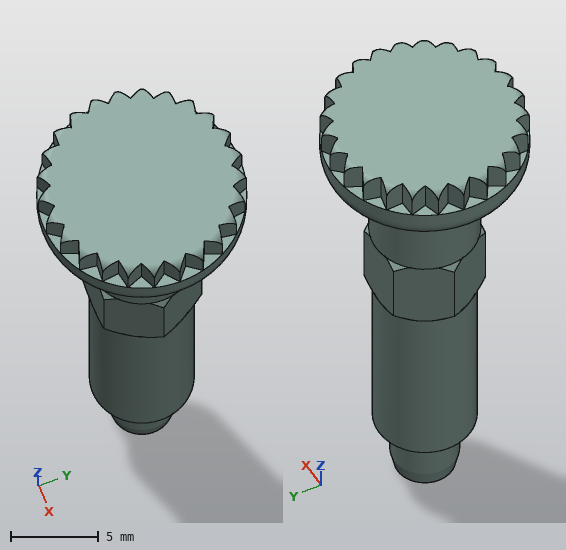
import cadquery as cq
import math


total_length = 30.5

knob_diameter = 12.0
knob_height = 4.0
knob_bottom_fillet = 1.4
knob_top_fillet = 0.6

tooth_count = 25
tooth_height = 1.7
tooth_depth = 0.75

sleeve_diameter = 6.4
sleeve_end_depth = 9.7
sleeve_fillet = 0.6

hex_sides = 6
hex_width = 6.0
hex_height = 4.8
shank_diameter = hex_width
shank_length = 12.02
shank_chamfer_height = 0.5
shank_chamfer_inset = 0.52

pin_diameter = 4.0
nose_length = 1.4
tip_height = 0.4
tip_diameter = 3.57

knob_top_z = total_length
knob_bottom_z = knob_top_z - knob_height
sleeve_end_z = knob_top_z - sleeve_end_depth
hex_bottom_z = sleeve_end_z - hex_height
shank_bottom_z = hex_bottom_z - shank_length

knob_radius = knob_diameter / 2
sleeve_radius = sleeve_diameter / 2
pin_radius = pin_diameter / 2
tip_radius = tip_diameter / 2

diagonal = math.sqrt(0.5)


def polar(radius, angle):
    return radius * math.cos(angle), radius * math.sin(angle)


def revolved_knob_and_pin():
    """Turned blank of the knob, its sleeve and the pin, before knurling."""
    dome_radius = (tip_radius**2 + tip_height**2) / (2 * tip_height)
    dome_half_angle = math.asin(tip_radius / dome_radius) / 2
    dome_middle = (
        dome_radius * math.sin(dome_half_angle),
        dome_radius * (1 - math.cos(dome_half_angle)),
    )

    neck_r = sleeve_radius + sleeve_fillet
    neck_z = knob_bottom_z - sleeve_fillet
    lower_r = knob_radius - knob_bottom_fillet
    lower_z = knob_bottom_z + knob_bottom_fillet
    upper_r = knob_radius - knob_top_fillet
    upper_z = knob_top_z - knob_top_fillet

    profile = (
        cq.Workplane("XZ")
        .moveTo(0, 0)
        .threePointArc(dome_middle, (tip_radius, tip_height))
        .lineTo(pin_radius, nose_length)
        .lineTo(pin_radius, sleeve_end_z)
        .lineTo(sleeve_radius, sleeve_end_z)
        .lineTo(sleeve_radius, neck_z)
        .threePointArc(
            (neck_r - diagonal * sleeve_fillet, neck_z + diagonal * sleeve_fillet),
            (neck_r, knob_bottom_z),
        )
        .lineTo(lower_r, knob_bottom_z)
        .threePointArc(
            (lower_r + diagonal * knob_bottom_fillet, lower_z - diagonal * knob_bottom_fillet),
            (knob_radius, lower_z),
        )
        .lineTo(knob_radius, upper_z)
        .threePointArc(
            (upper_r + diagonal * knob_top_fillet, upper_z + diagonal * knob_top_fillet),
            (upper_r, knob_top_z),
        )
        .lineTo(0, knob_top_z)
        .close()
    )
    return profile.revolve(360, (0, 0), (0, 1))


def knurl_gaps():
    """V-shaped gaps between the knob teeth: a ring around a star with sharp ridges."""
    pitch = 2 * math.pi / tooth_count
    star_points = []
    for tooth in range(tooth_count):
        star_points.append(polar(knob_radius, tooth * pitch))
        star_points.append(polar(knob_radius - tooth_depth, (tooth + 0.5) * pitch))
    floor = cq.Workplane("XY").workplane(offset=knob_top_z - tooth_height)
    star = floor.polyline(star_points).close().extrude(tooth_height)
    ring_radius = knob_diameter
    return floor.circle(ring_radius).extrude(tooth_height).cut(star)


def make_plunger():
    """Knob, sleeve and pin in one piece."""
    return revolved_knob_and_pin().cut(knurl_gaps())


def make_hex():
    """Hexagon with corners on the X axis, chamfered at both ends down to the flats."""
    corner_diameter = hex_width / math.cos(math.pi / hex_sides)
    corner_chamfer = (corner_diameter - hex_width) / 2
    base = cq.Workplane("XY").workplane(offset=hex_bottom_z)
    prism = base.polygon(hex_sides, corner_diameter).extrude(hex_height)
    envelope = base.circle(corner_diameter / 2).extrude(hex_height).edges("%CIRCLE").chamfer(corner_chamfer)
    return prism.intersect(envelope)


def make_housing():
    """Hexagon and round shank, bored through for the pin."""
    shank = (
        cq.Workplane("XY")
        .workplane(offset=shank_bottom_z)
        .circle(shank_diameter / 2)
        .extrude(shank_length)
        .faces("<Z")
        .chamfer(shank_chamfer_height, shank_chamfer_inset)
    )
    bore = (
        cq.Workplane("XY")
        .workplane(offset=shank_bottom_z)
        .circle(pin_radius)
        .extrude(shank_length + hex_height)
    )
    return make_hex().union(shank).cut(bore)


plunger = make_plunger()
housing = make_housing()

result = cq.Compound.makeCompound([plunger.solids().val(), housing.solids().val()])